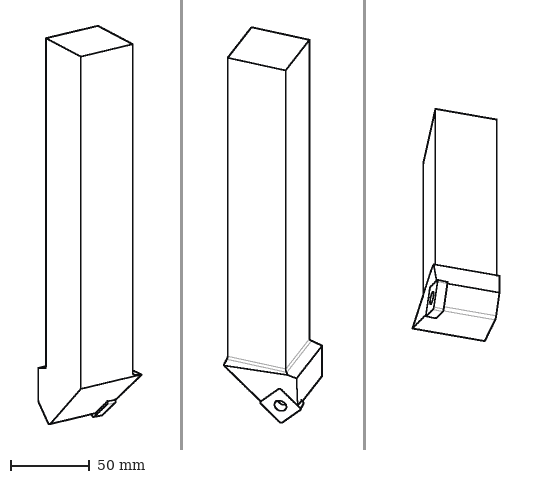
import cadquery as cq
import math

overall_length = 263.8
shank_size = 39.8

head_width = 48.5
head_depth = 47.0
shoulder_angle = 15.0
back_shoulder_angle = 13.0
shoulder_height = 39.5
shoulder_fillet = 1.5
bevel_start = 38.3
left_bevel_start = 14.5
head_nose_radius = 2.0
rake_angle = 7.0

insert_size = 19.8
insert_thickness = 6.5
insert_nose_radius = 1.3
insert_hole_diameter = 8.0
insert_tip_x = -37.0
insert_tip_z = -0.5

rake = math.radians(rake_angle)
rake_normal = cq.Vector(-math.sin(rake) / math.sqrt(2), math.cos(rake), -math.sin(rake) / math.sqrt(2))
rake_slope = math.tan(rake) / math.sqrt(2)
insert_tip_y = head_depth + rake_slope * (insert_tip_x + insert_tip_z - bevel_start)
rake_plane = cq.Plane(
    origin=(insert_tip_x, insert_tip_y, insert_tip_z),
    xDir=(-1, 0, 1),
    normal=rake_normal.toTuple(),
)


def make_insert_blank():
    """Rounded square plate with one corner at the cutting tip."""
    return (
        cq.Workplane(rake_plane)
        .rect(insert_size, insert_size, centered=False)
        .extrude(-insert_thickness)
        .edges(cq.selectors.ParallelDirSelector(rake_normal))
        .fillet(insert_nose_radius)
    )


def make_insert():
    hole = (
        cq.Workplane(rake_plane)
        .center(insert_size / 2, insert_size / 2)
        .circle(insert_hole_diameter / 2)
        .extrude(-insert_thickness)
    )
    return make_insert_blank().cut(hole)


def make_front_prism():
    """Outline across X and Z, with the left shoulder and both bevels, run through the depth."""
    nose_x = -(bevel_start + head_width - left_bevel_start) / 2
    nose_z = bevel_start + nose_x
    shoulder_drop = (head_width - shank_size) * math.tan(math.radians(shoulder_angle))
    outline = [
        (0, bevel_start),
        (0, overall_length),
        (-shank_size, overall_length),
        (-shank_size, shoulder_height),
        (-head_width, shoulder_height - shoulder_drop),
        (-head_width, left_bevel_start),
        (nose_x, nose_z),
    ]
    return (
        cq.Workplane("XZ")
        .polyline(outline)
        .close()
        .extrude(-head_depth)
        .edges(cq.selectors.NearestToPointSelector((-shank_size, head_depth / 2, shoulder_height)))
        .fillet(shoulder_fillet)
        .edges(cq.selectors.NearestToPointSelector((nose_x, head_depth / 2, nose_z)))
        .fillet(head_nose_radius)
    )


def make_side_prism():
    """Outline across Y and Z, with the back shoulder, run through the width."""
    shoulder_drop = (head_depth - shank_size) * math.tan(math.radians(back_shoulder_angle))
    outline = [
        (0, 0),
        (0, overall_length),
        (shank_size, overall_length),
        (shank_size, shoulder_height),
        (head_depth, shoulder_height - shoulder_drop),
        (head_depth, 0),
    ]
    return (
        cq.Workplane("YZ")
        .polyline(outline)
        .close()
        .extrude(-head_width)
        .edges(cq.selectors.NearestToPointSelector((-head_width / 2, shank_size, shoulder_height)))
        .fillet(shoulder_fillet)
    )


def make_rake_waste():
    """Material above the rake plane, beside the head only."""
    waste_size = 4 * head_width
    return cq.Workplane(rake_plane).rect(waste_size, waste_size).extrude(head_depth)


def make_holder():
    """Shank and head in one piece, with a pocket that fits the insert."""
    return (
        make_front_prism()
        .intersect(make_side_prism())
        .cut(make_rake_waste())
        .cut(make_insert_blank())
    )


holder = make_holder()
insert = make_insert()
result = cq.Compound.makeCompound([holder.val(), insert.val()])